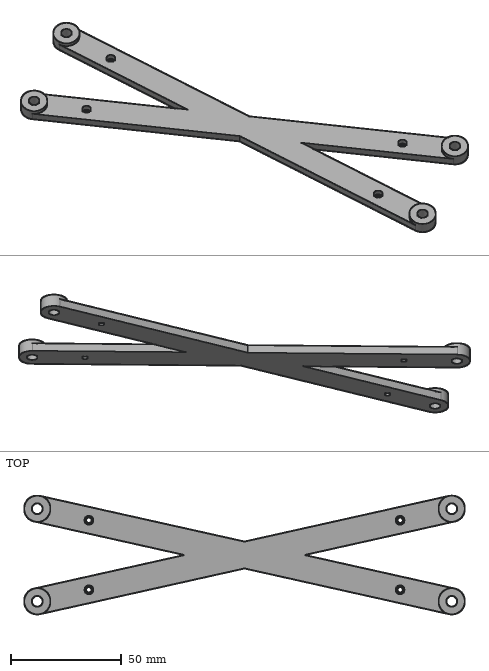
import cadquery as cq
import math

length = 200.0
width = 54.0
boss_height = 6.0
boss_diameter = 12.0
arm_width = boss_diameter
arm_thickness = 4.0
boss_hole_diameter = 4.8
small_hole_diameter = 2.5
counterbore_diameter = 4.0
counterbore_depth = 2.8
small_hole_inset = 24.0

boss_x = (length - boss_diameter) / 2
boss_y = (width - boss_diameter) / 2
arm_reach = math.hypot(boss_x, boss_y)
arm_angle = math.degrees(math.atan2(boss_y, boss_x))


def corner_points(radius):
    """Four points on the arm centrelines at the given distance from the origin."""
    x = boss_x * radius / arm_reach
    y = boss_y * radius / arm_reach
    return [(side_x * x, side_y * y) for side_x in (-1, 1) for side_y in (-1, 1)]


def arm(angle):
    """Flat bar between two opposite boss centres."""
    bar = cq.Workplane("XY").rect(2 * arm_reach, arm_width).extrude(arm_thickness)
    return bar.rotate((0, 0, 0), (0, 0, 1), angle)


def cylinders(points, diameter, height, base=0):
    """Vertical cylinders standing on the base height."""
    return cq.Workplane("XY").workplane(offset=base).pushPoints(points).circle(diameter / 2).extrude(height)


boss_centres = corner_points(arm_reach)
small_hole_centres = corner_points(arm_reach - small_hole_inset)

body = arm(arm_angle).union(arm(-arm_angle))
body = body.union(cylinders(boss_centres, boss_diameter, boss_height))

body = body.cut(cylinders(boss_centres, boss_hole_diameter, boss_height))
body = body.cut(cylinders(small_hole_centres, small_hole_diameter, arm_thickness))
counterbore_floor = arm_thickness - counterbore_depth
result = body.cut(
    cylinders(small_hole_centres, counterbore_diameter, counterbore_depth, counterbore_floor)
)